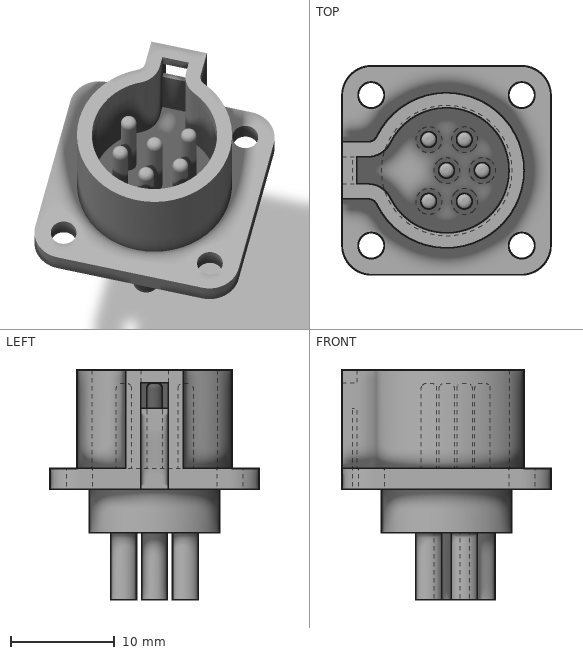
import cadquery as cq
import math

shell_height = 9.5
flange_thickness = 2.05
boss_height = 4.2
lead_length = 6.45

flange_size = 20.18
flange_corner_radius = 2.89
mount_hole_spacing = 14.52
mount_hole_diameter = 2.49

shell_radius = 7.48
wall = 1.45
channel_width = 5.5
channel_blend_radius = 0.93

window_top_drop = 1.27
window_height = 2.46
recess_depth = 1.0

boss_diameter = 12.6
contact_pitch = 3.45
contact_directions = (-120, -60, 0, 60, 120)
lead_diameter = 2.5
pin_diameter = 1.5
pin_top_drop = 1.29
pin_tip_radius = 0.5

flange_edge_x = -flange_size / 2
shell_top_z = flange_thickness + shell_height
cavity_floor_z = flange_thickness
window_top_z = shell_top_z - window_top_drop
pin_length = shell_height - pin_top_drop
inner_channel_width = channel_width - 2 * wall
contact_points = [(0, 0)] + [
    (
        contact_pitch * math.cos(math.radians(angle)),
        contact_pitch * math.sin(math.radians(angle)),
    )
    for angle in contact_directions
]


def keyhole(radius, half_width, blend_radius, end_x):
    """Circle about the origin, blended tangentially into a straight channel that ends at end_x."""
    blend_y = half_width + blend_radius
    center_distance = radius + blend_radius
    blend_x = -math.sqrt(center_distance**2 - blend_y**2)

    circle_x = blend_x * radius / center_distance
    circle_y = blend_y * radius / center_distance

    toward_origin = math.atan2(-blend_y, -blend_x)
    middle_angle = (toward_origin - math.pi / 2) / 2
    middle_x = blend_x + blend_radius * math.cos(middle_angle)
    middle_y = blend_y + blend_radius * math.sin(middle_angle)

    return (
        cq.Workplane("XY")
        .moveTo(end_x, half_width)
        .lineTo(blend_x, half_width)
        .threePointArc((middle_x, middle_y), (circle_x, circle_y))
        .threePointArc((radius, 0), (circle_x, -circle_y))
        .threePointArc((middle_x, -middle_y), (blend_x, -half_width))
        .lineTo(end_x, -half_width)
        .close()
    )


def make_flange():
    return (
        cq.Workplane("XY")
        .rect(flange_size, flange_size)
        .extrude(flange_thickness)
        .edges("|Z")
        .fillet(flange_corner_radius)
        .faces(">Z")
        .workplane()
        .rect(mount_hole_spacing, mount_hole_spacing, forConstruction=True)
        .vertices()
        .hole(mount_hole_diameter)
    )


def make_shell():
    return keyhole(
        shell_radius, channel_width / 2, channel_blend_radius, flange_edge_x
    ).extrude(shell_top_z)


def make_cavity():
    """Offset of the shell outline by one wall thickness, from the flange top up."""
    return (
        keyhole(
            shell_radius - wall,
            inner_channel_width / 2,
            channel_blend_radius + wall,
            flange_edge_x + wall,
        )
        .extrude(shell_height)
        .translate((0, 0, cavity_floor_z))
    )


def end_wall_cutter(depth, height):
    """Block as wide as the inner channel, reaching inward from the -X edge and down from the window top."""
    return (
        cq.Workplane("XY")
        .box(depth, inner_channel_width, height, centered=(False, True, False))
        .translate((flange_edge_x, 0, window_top_z - height))
    )


def make_window():
    return end_wall_cutter(wall, window_height)


def make_recess():
    return end_wall_cutter(recess_depth, window_top_z)


def make_boss():
    return cq.Workplane("XY").circle(boss_diameter / 2).extrude(-boss_height)


def make_leads():
    return (
        cq.Workplane("XY")
        .workplane(offset=-boss_height)
        .pushPoints(contact_points)
        .circle(lead_diameter / 2)
        .extrude(-lead_length)
    )


def make_pins():
    return (
        cq.Workplane("XY")
        .workplane(offset=cavity_floor_z)
        .pushPoints(contact_points)
        .circle(pin_diameter / 2)
        .extrude(pin_length)
        .faces(">Z")
        .edges()
        .fillet(pin_tip_radius)
    )


result = (
    make_flange()
    .union(make_shell())
    .cut(make_cavity())
    .cut(make_window())
    .cut(make_recess())
    .union(make_boss())
    .union(make_leads())
    .union(make_pins())
)